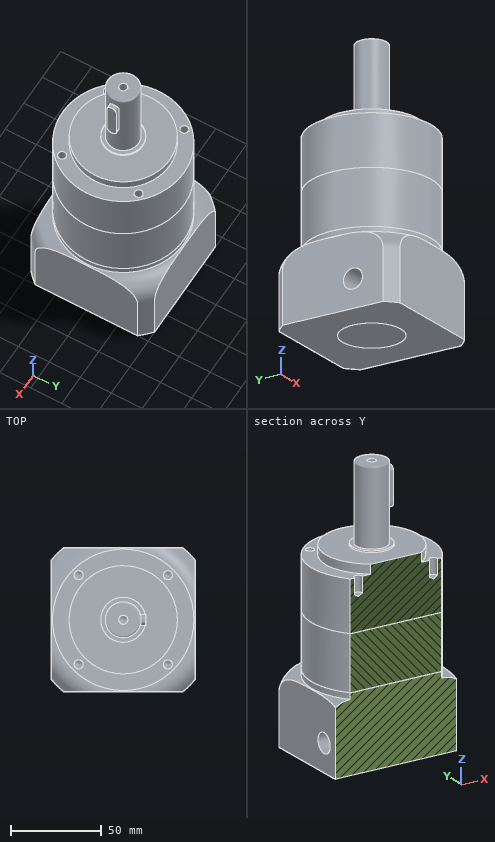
import cadquery as cq
import math

total_height = 173.5

housing_diameter = 78.5
ring_gear_bottom = 49.6
ring_gear_top = 84.8
front_housing_top = 117.5
pilot_diameter = 60.0
pilot_top = 123.4

adapter_width = 80.0
adapter_square_height = 45.6
corner_radius = 51.9
shoulder_round = corner_radius - housing_diameter / 2
access_hole_diameter = 12.5
access_hole_y = -13.4
access_hole_z = 17.9

mounting_hole_diameter = 5.0
mounting_hole_spacing = 49.5
mounting_hole_depth = 10.0
drill_point_angle = 118.0

shaft_diameter = 20.0
shaft_end_round = 1.0
journal_diameter = 25.0
journal_top = 124.4
hub_diameter = 38.0
center_hole_diameter = 5.0
center_hole_depth = 10.0

key_width = 6.0
key_height = 6.0
key_length = 25.0
key_outer_x = 12.5
key_end_gap = 5.0
key_top = total_height - key_end_gap


def cylinder(diameter, bottom, top):
    """Solid cylinder on the Z axis between two heights."""
    return cq.Workplane("XY").workplane(offset=bottom).circle(diameter / 2).extrude(top - bottom)


def drilled_hole(diameter, depth, x, y, top):
    """Cutter for a blind hole with a conical drill point, going down from a given height."""
    radius = diameter / 2
    point_height = radius / math.tan(math.radians(drill_point_angle / 2))
    profile = (
        cq.Workplane("XZ")
        .lineTo(radius, 0)
        .lineTo(radius, -depth)
        .lineTo(0, -depth - point_height)
        .close()
    )
    return profile.revolve(360, (0, 0, 0), (0, 1, 0)).translate((x, y, top))


def make_adapter():
    block = cq.Workplane("XY").rect(adapter_width, adapter_width).extrude(adapter_square_height)
    rounded_envelope = cylinder(2 * corner_radius, 0, adapter_square_height)
    rounded_envelope = rounded_envelope.faces(">Z").edges().fillet(shoulder_round)
    collar = cylinder(housing_diameter, 0, ring_gear_bottom)
    access_hole = (
        cq.Workplane("YZ", origin=(-adapter_width / 2, access_hole_y, access_hole_z))
        .circle(access_hole_diameter / 2)
        .extrude(adapter_width / 2)
    )
    hub_bore = cylinder(hub_diameter, 0, ring_gear_bottom)
    return block.intersect(rounded_envelope).union(collar).cut(access_hole).cut(hub_bore)


def make_ring_gear():
    body = cylinder(housing_diameter, ring_gear_bottom, ring_gear_top)
    return body.cut(cylinder(journal_diameter, ring_gear_bottom, ring_gear_top))


def make_front_housing():
    body = cylinder(housing_diameter, ring_gear_top, front_housing_top)
    body = body.union(cylinder(pilot_diameter, front_housing_top, pilot_top))
    body = body.cut(cylinder(journal_diameter, ring_gear_top, pilot_top))
    offset = mounting_hole_spacing / 2
    for x in (-offset, offset):
        for y in (-offset, offset):
            body = body.cut(
                drilled_hole(mounting_hole_diameter, mounting_hole_depth, x, y, front_housing_top)
            )
    return body


def make_key():
    return (
        cq.Workplane("YZ", origin=(key_outer_x - key_height, 0, key_top - key_length / 2))
        .slot2D(key_length, key_width, 90)
        .extrude(key_height)
    )


def make_shaft(key_body):
    output = cylinder(shaft_diameter, journal_top, total_height).faces(">Z").edges().fillet(shaft_end_round)
    hub = cylinder(hub_diameter, 0, ring_gear_bottom)
    journal = cylinder(journal_diameter, ring_gear_bottom, journal_top)
    center_hole = drilled_hole(center_hole_diameter, center_hole_depth, 0, 0, total_height)
    return hub.union(journal).union(output).cut(center_hole).cut(key_body)


adapter = make_adapter()
ring_gear = make_ring_gear()
front_housing = make_front_housing()
key = make_key()
shaft = make_shaft(key)

result = cq.Compound.makeCompound(
    [adapter.val(), ring_gear.val(), front_housing.val(), shaft.val(), key.val()]
)